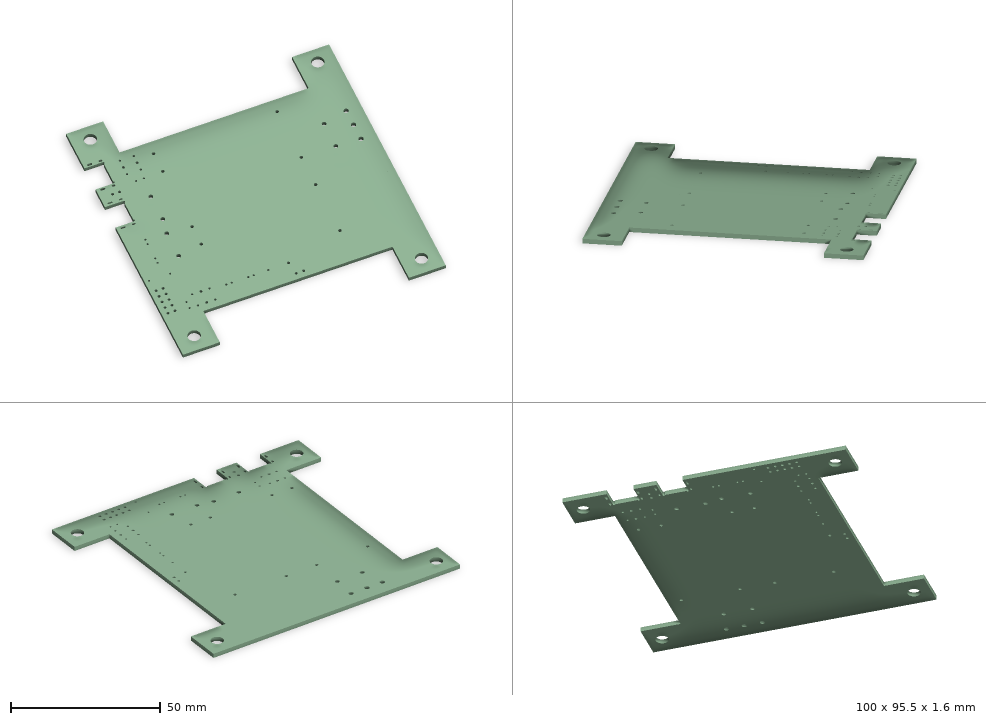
import cadquery as cq

board_length = 100
board_width = 95.5
board_thickness = 1.6

ear_length = 14.1
ear_width = 13.4

notch_depth = 6.7
relief_diameter = 0.75
wide_notch_x = -29.6
wide_notch_width = 9.5
narrow_notch_x = -12.2
narrow_notch_width = 9.2

slot_spacing = 11.2
wide_slot_width = 0.8
narrow_slot_width = 0.6
inner_slot_y = -41.6
inner_slot_length = 1.3
outer_slot_y = -45.5
outer_slot_length = 1.8

mount_diameter = 4.5
mount_spacing_x = 88.9
mount_spacing_y = 82.6
mount_center_x = -0.3
mount_center_y = 0.1

header_pitch = 2.54
header_x = 21.9
header_y = -45.6
header_columns = 5
header_rows = 2

terminal_diameter = 1.8
power_diameter = 1.6
lead_diameter = 1.2
pin_diameter = 1
small_diameter = 0.8
via_diameter = 0.75


def grid(xs, ys):
    """Centres of every combination of the given X and Y places."""
    return [(x, y) for x in xs for y in ys]


header_holes = grid(
    [header_x + column * header_pitch for column in range(header_columns)],
    [header_y + row * header_pitch for row in range(header_rows)],
)

mount_holes = grid(
    [mount_center_x + side * mount_spacing_x / 2 for side in (-1, 1)],
    [mount_center_y + side * mount_spacing_y / 2 for side in (-1, 1)],
)

terminal_holes = grid([-22.3, -16, -9.6], [42.2])

power_holes = (
    grid([-20.2, -10.1], [33.3])
    + grid([-14.9, -4.7], [-31.9])
    + grid([1.3, 11.5], [-33])
)

lead_holes = grid([-31, -10.3, 2, 22.8], [20.8]) + grid([-31, -23, 2, 9.9], [-24.1])

pin_holes = (
    header_holes
    + grid([33.5], [0.4, 3.1])
    + grid([28.5], [-0.3])
    + grid([28, 33], [-31.9])
    + grid([-29.7], [-35.6, -30.6])
    + grid([-20.8], [-43.3, -40.8])
)

small_holes = grid([28, 33], [-35.1, -28.8]) + grid([-32.7, -26.6], [-35.6, -30.6])

via_holes = (
    grid([28.7], [-23, -21, -15, -13])
    + grid([28.6], [-7.7])
    + grid([-22.8], [-33.9, -31.1])
    + grid([30.2, 32.9], [-38.1])
    + grid([17.2], [-46.2, -38.5])
    + grid([0.9, 2.9, 9.4, 11.4], [-40.6])
)


def board():
    """Flat board with a rectangular bite out of the middle of each X side."""
    body = cq.Workplane("XY").box(board_length, board_width, board_thickness)
    bite = cq.Workplane("XY").box(ear_length, board_width - 2 * ear_width, board_thickness)
    bite_x = (board_length - ear_length) / 2
    for side in (-1, 1):
        body = body.cut(bite.translate((side * bite_x, 0, 0)))
    return body


def round_holes(body, diameter, centers):
    """Round holes right through the board."""
    pins = cq.Workplane("XY").pushPoints(centers).circle(diameter / 2)
    return body.cut(pins.extrude(board_thickness, both=True))


def connector_notch(body, center_x, width):
    """Open notch in the -Y edge with a corner relief at each end of its inner side."""
    edge_y = -board_width / 2
    opening = cq.Workplane("XY").box(width, 2 * notch_depth, board_thickness)
    body = body.cut(opening.translate((center_x, edge_y, 0)))
    relief_offset = (width - relief_diameter) / 2
    reliefs = grid([center_x - relief_offset, center_x + relief_offset], [edge_y + notch_depth])
    return round_holes(body, relief_diameter, reliefs)


def retention_slots(body, center_x, width):
    """Inner and outer slot on each side of a notch, long in Y."""
    slot_xs = [center_x - slot_spacing / 2, center_x + slot_spacing / 2]
    for y, slot_length in ((inner_slot_y, inner_slot_length), (outer_slot_y, outer_slot_length)):
        slots = cq.Workplane("XY").pushPoints(grid(slot_xs, [y])).slot2D(slot_length, width, 90)
        body = body.cut(slots.extrude(board_thickness, both=True))
    return body


result = board()

result = connector_notch(result, wide_notch_x, wide_notch_width)
result = retention_slots(result, wide_notch_x, wide_slot_width)
result = connector_notch(result, narrow_notch_x, narrow_notch_width)
result = retention_slots(result, narrow_notch_x, narrow_slot_width)

result = round_holes(result, mount_diameter, mount_holes)
result = round_holes(result, terminal_diameter, terminal_holes)
result = round_holes(result, power_diameter, power_holes)
result = round_holes(result, lead_diameter, lead_holes)
result = round_holes(result, pin_diameter, pin_holes)
result = round_holes(result, small_diameter, small_holes)
result = round_holes(result, via_diameter, via_holes)